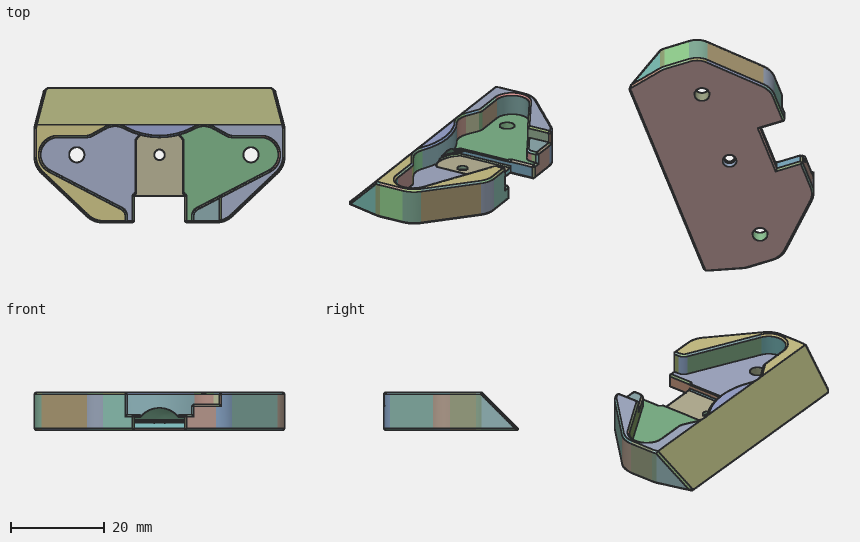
import cadquery as cq
import math

half_length = 26.8
height = 8.2
front_y = -14.5
back_tip_y = 14.3
edge_chamfer = 0.45

back_half_length = 24.55
shoulder_radius = 4.3
shoulder_y = 5.85
front_half_length = 14.1
diagonal_start_y = -2.45
corner_radius = 5.0

tip_height = 0.3
crease_y = back_tip_y - (height - tip_height)
outline_back_y = back_tip_y + edge_chamfer - tip_height

notch_half_width = 5.35
notch_end_y = -8.85

pocket_floor = 3.3
end_radius = 3.7
end_center_x = 21.7
lower_wall_angle = math.radians(27.5)
mouth_half_width = 6.9
mouth_radius = 1.9
scallop_radius = 15.75
lobe_center_x = 9.5
lobe_radius = 4.3
ramp_angle = math.radians(29)
ramp_foot_radius = 2.15

shelf_height = 5.65
shelf_end_x = 12.75
shelf_back_y = -5.35
front_edge_reach = 10.7

seat_floor = 1.6
seat_radius = 6.25
seat_floor_chamfer = 0.3
dome_start_height = 2.3
dome_radius = 7.35
slot_back_y = 2.1
lip_half_width = 5.0
lip_overhang_top = 3.15
lip_chamfer = 0.15

lip_overhang = notch_half_width - lip_half_width
lip_radius = seat_radius - lip_overhang

center_hole_diameter = 2.2
countersink_diameter = 3.0
countersink_depth = 0.8
side_hole_diameter = 3.2
side_hole_xs = (-17.7, 19.55)

margin = 0.55


def block(x0, x1, y0, y1, z0, z1):
    """Box between opposite corners."""
    box = cq.Workplane("XY").box(x1 - x0, y1 - y0, z1 - z0, centered=False)
    return box.translate((x0, y0, z0))


def upright_edges(solid, x, y):
    """Upright edges at (x, y) and at its mirror image (-x, y)."""
    reach = 0.005
    edges = []
    for center_x in (x, -x):
        near = cq.selectors.BoxSelector(
            (center_x - reach, y - reach, -margin), (center_x + reach, y + reach, height + margin)
        )
        edges += solid.edges("|Z").edges(near).vals()
    return solid.newObject(edges)


def make_blank():
    """Rounded outline with the front notch, sloped down to the back edge."""
    right_side = [
        (notch_half_width, notch_end_y),
        (notch_half_width, front_y),
        (front_half_length, front_y),
        (half_length, diagonal_start_y),
        (half_length, shoulder_y),
        (back_half_length, outline_back_y),
    ]
    left_side = [(-x, y) for x, y in reversed(right_side)]
    blank = cq.Workplane("XY").polyline(right_side + left_side).close().extrude(height)
    blank = upright_edges(blank, front_half_length, front_y).fillet(corner_radius)
    blank = upright_edges(blank, half_length, diagonal_start_y).fillet(corner_radius)
    blank = upright_edges(blank, half_length, shoulder_y).fillet(shoulder_radius)
    blank = blank.faces("<Z").edges().chamfer(edge_chamfer)
    above_slope = (
        cq.Workplane("YZ")
        .moveTo(crease_y, height)
        .line(height, -height)
        .line(0, height)
        .close()
        .extrude(half_length + margin, both=True)
    )
    blank = blank.cut(above_slope)
    slope_sides = blank.faces(cq.DirectionMinMaxSelector(cq.Vector(0, 1, 1))).edges("not |X")
    top_rim = blank.faces(">Z").edges("not >Y")
    return top_rim.chamfer(edge_chamfer).intersect(slope_sides.chamfer(edge_chamfer))


def pocket_outline(workplane):
    """Closed pocket outline, open-ended past the front edge of the body."""
    end_x = end_center_x + end_radius * math.sin(lower_wall_angle)
    end_y = -end_radius * math.cos(lower_wall_angle)
    mouth_y = end_y - (end_x - mouth_half_width) * math.tan(lower_wall_angle)
    mouth_half_turn = (math.pi / 2 - lower_wall_angle) / 2
    mouth_setback = mouth_radius * math.tan(mouth_half_turn)
    wall_end_x = mouth_half_width + mouth_setback * math.cos(lower_wall_angle)
    wall_end_y = mouth_y + mouth_setback * math.sin(lower_wall_angle)
    mouth_mid_x = mouth_half_width + mouth_radius * (1 - math.cos(mouth_half_turn))
    mouth_mid_y = mouth_y - mouth_setback + mouth_radius * math.sin(mouth_half_turn)

    scallop_y = end_radius + scallop_radius
    scallop_angle = math.asin(lobe_center_x / (scallop_radius + lobe_radius))
    lobe_y = scallop_y - (scallop_radius + lobe_radius) * math.cos(scallop_angle)
    lobe_end_x = lobe_center_x + lobe_radius * math.sin(ramp_angle)
    lobe_end_y = lobe_y + lobe_radius * math.cos(ramp_angle)
    lobe_start_x = scallop_radius * math.sin(scallop_angle)
    lobe_start_y = scallop_y - scallop_radius * math.cos(scallop_angle)
    foot_x = lobe_end_x + (lobe_end_y - end_radius) / math.tan(ramp_angle)
    foot_setback = ramp_foot_radius * math.tan(ramp_angle / 2)
    foot_start_x = foot_x - foot_setback * math.cos(ramp_angle)
    foot_start_y = end_radius + foot_setback * math.sin(ramp_angle)
    foot_mid_x = foot_x + foot_setback - ramp_foot_radius * math.sin(ramp_angle / 2)
    foot_mid_y = end_radius + ramp_foot_radius * (1 - math.cos(ramp_angle / 2))

    mouth_end_y = front_y - 2 * margin
    return (
        workplane.moveTo(mouth_half_width, mouth_end_y)
        .lineTo(mouth_half_width, mouth_y - mouth_setback)
        .threePointArc((mouth_mid_x, mouth_mid_y), (wall_end_x, wall_end_y))
        .lineTo(end_x, end_y)
        .threePointArc((end_center_x + end_radius, 0), (end_center_x, end_radius))
        .lineTo(foot_x + foot_setback, end_radius)
        .threePointArc((foot_mid_x, foot_mid_y), (foot_start_x, foot_start_y))
        .lineTo(lobe_end_x, lobe_end_y)
        .threePointArc((lobe_center_x, lobe_y + lobe_radius), (lobe_start_x, lobe_start_y))
        .threePointArc((0, end_radius), (-lobe_start_x, lobe_start_y))
        .threePointArc((-lobe_center_x, lobe_y + lobe_radius), (-lobe_end_x, lobe_end_y))
        .lineTo(-foot_start_x, foot_start_y)
        .threePointArc((-foot_mid_x, foot_mid_y), (-foot_x - foot_setback, end_radius))
        .lineTo(-end_center_x, end_radius)
        .threePointArc((-end_center_x - end_radius, 0), (-end_x, end_y))
        .lineTo(-wall_end_x, wall_end_y)
        .threePointArc((-mouth_mid_x, mouth_mid_y), (-mouth_half_width, mouth_y - mouth_setback))
        .lineTo(-mouth_half_width, mouth_end_y)
        .close()
    )



def cut_pocket(body):
    """Pocket with its chamfered rim, and the shelf beside its mouth."""
    floor_plane = cq.Workplane("XY").workplane(offset=pocket_floor)
    body = body.cut(pocket_outline(floor_plane).extrude(height))
    shelf = block(0, shelf_end_x, front_y - margin, shelf_back_y, shelf_height, height + margin)
    body = body.cut(shelf)
    body = mouth_edges(body).chamfer(edge_chamfer)
    rim_plane = cq.Workplane("XY").workplane(offset=height - edge_chamfer)
    rim = pocket_outline(rim_plane).extrude(edge_chamfer, taper=-45)
    return body.cut(rim)


def edges_near(body, corner, opposite):
    """Edges whose midpoint lies in the box between two corners."""
    return body.edges(cq.selectors.BoxSelector(corner, opposite))


def mouth_edges(body):
    """Outer edges of the pocket mouth, pocket floor, notch and shelf."""
    reach = 0.05
    front = edges_near(
        body,
        (-front_edge_reach, front_y - reach, edge_chamfer + reach),
        (front_edge_reach, front_y + reach, height - edge_chamfer - reach),
    )
    notch_sides = edges_near(
        body,
        (-notch_half_width - reach, front_y, pocket_floor - reach),
        (notch_half_width + reach, notch_end_y - reach, pocket_floor + reach),
    ).edges("|Y")
    shelf_rim = edges_near(
        body,
        (mouth_half_width - reach, front_y + reach, shelf_height - reach),
        (shelf_end_x - reach, shelf_back_y, shelf_height + reach),
    )
    shelf_end = edges_near(
        body,
        (shelf_end_x - reach, front_y, shelf_height + reach),
        (shelf_end_x + reach, notch_end_y - edge_chamfer, height + reach),
    )
    return front.add(notch_sides).add(shelf_rim).add(shelf_end)


def seat_prism(half_width, radius, bottom, top):
    """Prism open at the notch, with straight sides and a back round the hole axis."""
    sides = block(-half_width, half_width, notch_end_y - margin, radius + margin, bottom, top)
    front = block(-half_width, half_width, notch_end_y - margin, 0, bottom, top)
    disc = cq.Workplane("XY").workplane(offset=bottom).circle(radius).extrude(top - bottom)
    return sides.intersect(disc).union(front)


def cut_seat(body):
    """Sunken seat: undercut sides below a lip, and a dome into the pocket wall."""
    hollow = seat_prism(notch_half_width, seat_radius, seat_floor, lip_overhang_top)
    hollow = hollow.faces("<Z").edges("not <Y").chamfer(seat_floor_chamfer)
    hollow = hollow.faces(">Z").edges("not <Y").chamfer(lip_overhang)

    dome_center_z = dome_start_height - math.sqrt(dome_radius**2 - seat_radius**2)
    ball = cq.Workplane("XY").sphere(dome_radius).translate((0, 0, dome_center_z))
    dome_width = block(-lip_half_width, lip_half_width, 0, dome_radius, dome_start_height, height)
    slot_part = block(-half_length, half_length, front_y, slot_back_y, 0, height)
    body = body.cut(hollow.intersect(slot_part))
    body = body.cut(hollow.intersect(ball))
    body = body.cut(ball.intersect(dome_width))

    opening = seat_prism(lip_half_width, lip_radius, lip_overhang_top - lip_overhang, pocket_floor)
    flare_bottom = pocket_floor - lip_chamfer
    flare = seat_prism(lip_half_width + lip_chamfer, lip_radius + lip_chamfer, flare_bottom, height)
    flare = flare.faces("<Z").edges("not <Y").chamfer(lip_chamfer)
    pocket_area = pocket_outline(cq.Workplane("XY")).extrude(height)
    body = body.cut(opening.union(flare).intersect(pocket_area))

    lead_in = (
        cq.Workplane("XY")
        .workplane(offset=pocket_floor - edge_chamfer)
        .moveTo(-notch_half_width, notch_end_y)
        .lineTo(notch_half_width, notch_end_y)
        .lineTo(lip_half_width, notch_end_y + lip_overhang)
        .lineTo(-lip_half_width, notch_end_y + lip_overhang)
        .close()
        .extrude(edge_chamfer, taper=-45)
    )
    return body.cut(lead_in)


def drill_holes(body):
    """Two plain side holes, and the centre hole countersunk from below."""
    side_hole_centers = [(x, 0) for x in side_hole_xs]
    side_holes = (
        cq.Workplane("XY")
        .pushPoints(side_hole_centers)
        .circle(side_hole_diameter / 2)
        .extrude(height)
    )
    center_hole = cq.Workplane("XY").circle(center_hole_diameter / 2).extrude(pocket_floor)
    countersink = (
        cq.Workplane("XY")
        .circle(countersink_diameter / 2)
        .workplane(offset=countersink_depth)
        .circle(center_hole_diameter / 2)
        .loft(ruled=True)
    )
    return body.cut(side_holes).cut(center_hole).cut(countersink)


result = make_blank()
result = cut_pocket(result)
result = cut_seat(result)
result = drill_holes(result)